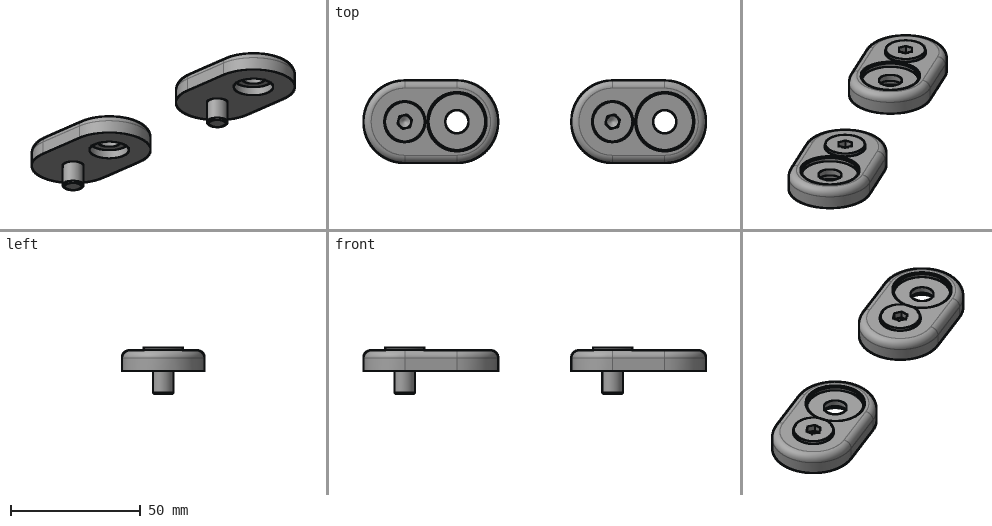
import cadquery as cq

PLATE_COUNT = 2
HOLE_SPACING = 20.0
PLATE_WIDTH = 32.0
PLATE_LENGTH = HOLE_SPACING + PLATE_WIDTH
TOTAL_LENGTH = 132.0
PLATE_PITCH = TOTAL_LENGTH - PLATE_LENGTH
PLATE_THICKNESS = 8.0
PLATE_EDGE_RADIUS = 3.0

RECESS_DIAMETER = 21.8
RECESS_DEPTH = 2.0
RECESS_CHAMFER = 0.5
THROUGH_HOLE_DIAMETER = 8.8
COUNTERBORE_DEPTH = 3.4

TOTAL_HEIGHT = 18.0
HEAD_DIAMETER = 15.2
HEAD_PROJECTION = 1.0
HEAD_SEAT_DEPTH = 2.0
SEAT_CHAMFER = 0.33
SHANK_DIAMETER = 8.0
SHANK_CHAMFER = 0.7
SOCKET_ACROSS_CORNERS = 5.8
SOCKET_DEPTH = 2.8
SOCKET_TURN = 15.0
SOCKET_CONE_DIAMETER = 5.0
SOCKET_CONE_DEPTH = 1.5

HEAD_TOP = PLATE_THICKNESS + HEAD_PROJECTION
HEAD_BOTTOM = PLATE_THICKNESS - HEAD_SEAT_DEPTH
SHANK_BOTTOM = HEAD_TOP - TOTAL_HEIGHT


def cylinder(diameter, bottom, top):
    """Upright cylinder on the Z axis between two heights."""
    return cq.Workplane("XY").workplane(offset=bottom).circle(diameter / 2).extrude(top - bottom)


def chamfered_recess(diameter, floor, chamfer):
    """Cutter for a round recess in the plate top, with a 45 degree chamfer on its rim."""
    rim = cq.Workplane(
        cq.Solid.makeCone(
            diameter / 2,
            diameter / 2 + chamfer,
            chamfer,
            pnt=cq.Vector(0, 0, PLATE_THICKNESS - chamfer),
        )
    )
    return cylinder(diameter, floor, PLATE_THICKNESS).union(rim)


def make_screw():
    """Screw on the Z axis, with a hexagonal socket in its head."""
    shank = cylinder(SHANK_DIAMETER, SHANK_BOTTOM, HEAD_BOTTOM).faces("<Z").chamfer(SHANK_CHAMFER)
    head = cylinder(HEAD_DIAMETER, HEAD_BOTTOM, HEAD_TOP)
    socket = (
        cq.Workplane("XY")
        .workplane(offset=HEAD_TOP - SOCKET_DEPTH)
        .polygon(6, SOCKET_ACROSS_CORNERS)
        .extrude(SOCKET_DEPTH)
        .rotate((0, 0, 0), (0, 0, 1), SOCKET_TURN)
    )
    socket_tip = cq.Workplane(
        cq.Solid.makeCone(
            0,
            SOCKET_CONE_DIAMETER / 2,
            SOCKET_CONE_DEPTH,
            pnt=cq.Vector(0, 0, HEAD_TOP - SOCKET_DEPTH - SOCKET_CONE_DEPTH),
        )
    )
    return shank.union(head).cut(socket).cut(socket_tip)


def make_plate():
    """Plate with the screw seat on the Z axis and the free hole at +X."""
    plate = (
        cq.Workplane("XY")
        .center(HOLE_SPACING / 2, 0)
        .slot2D(PLATE_LENGTH, PLATE_WIDTH)
        .extrude(PLATE_THICKNESS)
        .faces(">Z")
        .edges()
        .fillet(PLATE_EDGE_RADIUS)
    )
    screw_seat = chamfered_recess(HEAD_DIAMETER, HEAD_BOTTOM, SEAT_CHAMFER)
    screw_hole = cylinder(SHANK_DIAMETER, 0, HEAD_BOTTOM)

    recess_floor = PLATE_THICKNESS - RECESS_DEPTH
    free_hole = (
        cylinder(THROUGH_HOLE_DIAMETER, 0, recess_floor)
        .union(chamfered_recess(RECESS_DIAMETER, recess_floor, RECESS_CHAMFER))
        .union(cylinder(HEAD_DIAMETER, 0, COUNTERBORE_DEPTH))
        .translate((HOLE_SPACING, 0, 0))
    )
    return plate.cut(screw_seat).cut(screw_hole).cut(free_hole)


bodies = []
for index in range(PLATE_COUNT):
    offset = (index * PLATE_PITCH, 0, 0)
    bodies.append(make_plate().translate(offset).val())
    bodies.append(make_screw().translate(offset).val())

result = cq.Compound.makeCompound(bodies)